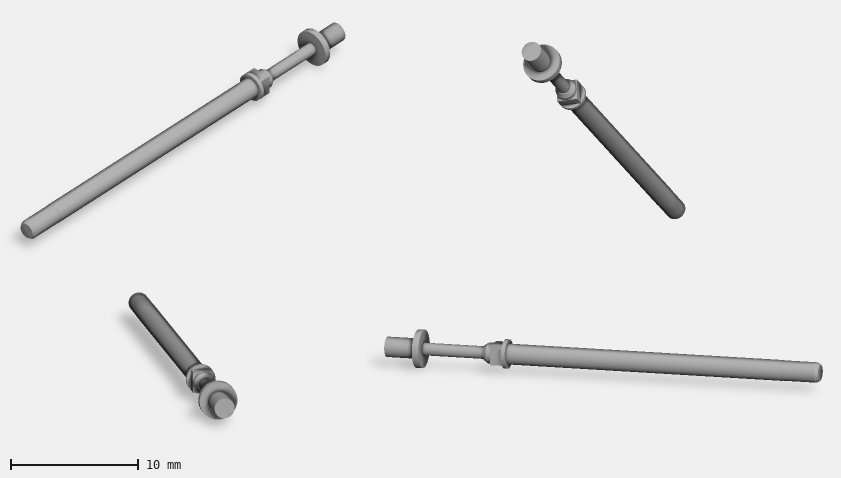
import cadquery as cq

total_length = 35.5

end_diameter = 1.6
barrel_diameter = 1.65
flange_diameter = 3.0
rod_diameter = 1.0
collar_diameter = 2.3
neck_end_diameter = 1.17
tip_end_diameter = 1.28

square_width = barrel_diameter

head_length = 2.5
flange_thickness = 0.55
rod_length = 4.97
taper_length = 0.32
neck_length = 0.4
square_length = 0.95
collar_thickness = 0.32
tip_length = 2.75
tip_chamfer_length = 0.3
barrel_length = total_length - (
    head_length + flange_thickness + rod_length + taper_length
    + neck_length + square_length + collar_thickness
    + tip_length + tip_chamfer_length
)


def tapered(first_diameter, last_diameter):
    """Return a function that builds a cone frustum from start_y along -Y."""
    def build(start_y, length):
        axis_start = cq.Vector(0, start_y, 0)
        cone = cq.Solid.makeCone(
            first_diameter / 2, last_diameter / 2, length, axis_start, cq.Vector(0, -1, 0)
        )
        return cq.Workplane(obj=cone)
    return build


def round_section(diameter):
    """Return a function that builds a cylinder from start_y along -Y."""
    def build(start_y, length):
        return cq.Workplane("XZ", origin=(0, start_y, 0)).circle(diameter / 2).extrude(length)
    return build


def square_section(width):
    """Return a function that builds a square bar from start_y along -Y."""
    def build(start_y, length):
        return cq.Workplane("XZ", origin=(0, start_y, 0)).rect(width, width).extrude(length)
    return build


sections = [
    (round_section(end_diameter), head_length),
    (round_section(flange_diameter), flange_thickness),
    (round_section(rod_diameter), rod_length),
    (tapered(neck_end_diameter, barrel_diameter), taper_length),
    (round_section(barrel_diameter), neck_length),
    (square_section(square_width), square_length),
    (round_section(collar_diameter), collar_thickness),
    (round_section(barrel_diameter), barrel_length),
    (round_section(end_diameter), tip_length),
    (tapered(end_diameter, tip_end_diameter), tip_chamfer_length),
]

section_start = total_length / 2
pin = cq.Workplane("XZ")
for build_section, length in sections:
    pin = pin.union(build_section(section_start, length))
    section_start -= length

result = pin